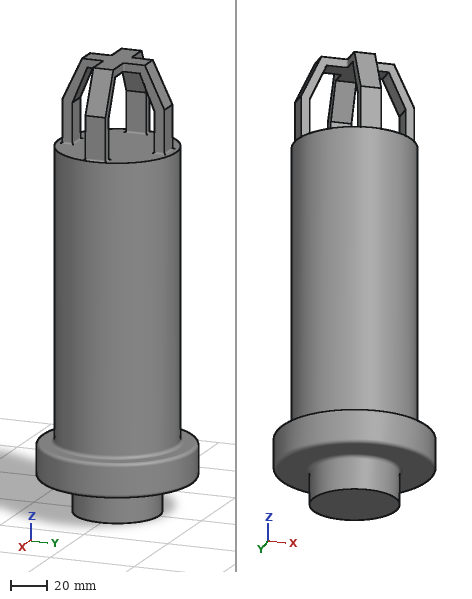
import cadquery as cq

total_height = 260.0
stub_diameter = 50.0
flange_diameter = 90.0
body_diameter = 70.0
stub_height = 20.0
flange_height = 20.0
body_top = 210.0
edge_fillet = 2.0

arm_width = 12.0
roof_thickness = 5.0
knee_height = 235.5
x_arch_foot_half = 32.8
x_arch_roof_half = 21.0
x_arch_leg_thickness = 5.0
y_arch_foot_half = 30.5
y_arch_roof_half = 18.7
y_arch_leg_thickness = 6.0
knee_drop = 1.5
roof_inset = 3.0
cage_fillet = 1.0

flange_top = stub_height + flange_height


def cylinder(diameter, bottom, top):
    return cq.Workplane("XY").workplane(offset=bottom).circle(diameter / 2).extrude(top - bottom)


def mirrored_outline(foot_half, roof_half, knee, roof):
    """Symmetric outline of foot, knee and roof corners, standing on the body."""
    right = [(foot_half, body_top), (foot_half, knee), (roof_half, roof)]
    left = [(-x, z) for x, z in reversed(right)]
    return cq.Workplane("XZ").polyline(right + left).close().extrude(arm_width / 2, both=True)


def arch(foot_half, roof_half, leg_thickness):
    """Arch spanning X: two upright legs, two sloping shoulders and a flat roof."""
    outer = mirrored_outline(foot_half, roof_half, knee_height, total_height)
    inner = mirrored_outline(
        foot_half - leg_thickness,
        roof_half - roof_inset,
        knee_height - knee_drop,
        total_height - roof_thickness,
    )
    return outer.cut(inner)


base = (
    cylinder(stub_diameter, 0, stub_height)
    .union(cylinder(flange_diameter, stub_height, flange_top))
    .union(cylinder(body_diameter, flange_top, body_top))
)
flange_band = cq.selectors.BoxSelector(
    (-flange_diameter, -flange_diameter, stub_height - edge_fillet),
    (flange_diameter, flange_diameter, flange_top + edge_fillet),
)
base = base.edges("%CIRCLE").edges(flange_band).fillet(edge_fillet)

x_arch = arch(x_arch_foot_half, x_arch_roof_half, x_arch_leg_thickness)
y_arch = arch(y_arch_foot_half, y_arch_roof_half, y_arch_leg_thickness).rotate((0, 0, 0), (0, 0, 1), 90)
cage = x_arch.union(y_arch)
cross_corners = cq.selectors.BoxSelector(
    (-arm_width, -arm_width, body_top),
    (arm_width, arm_width, total_height),
)
cage = cage.edges("|Z").edges(cross_corners).fillet(cage_fillet)

result = base.union(cage)
foot_band = cq.selectors.BoxSelector(
    (-body_diameter, -body_diameter, body_top - cage_fillet),
    (body_diameter, body_diameter, body_top + cage_fillet),
)
result = result.edges(foot_band).edges("%LINE").fillet(cage_fillet)